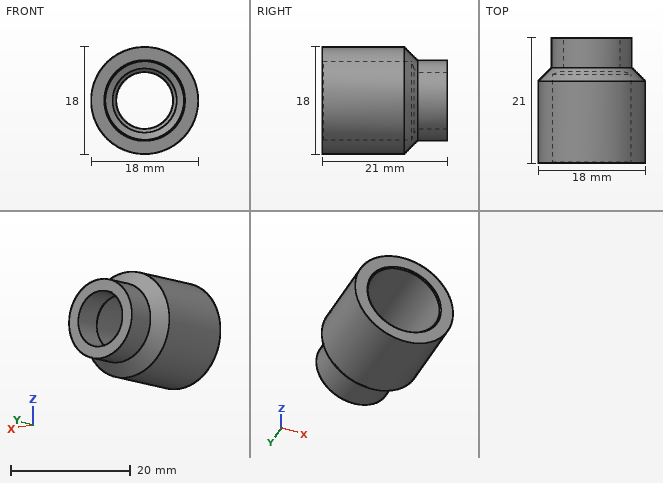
import cadquery as cq
import math

length = 21.0
body_diameter = 18.0
neck_diameter = 13.5
neck_length = 5.0
through_diameter = 9.5
cone_end_diameter = 10.75
socket_diameter = 13.15
mouth_diameter = 13.57
cone_half_angle = 70.0

body_radius = body_diameter / 2
neck_radius = neck_diameter / 2
through_radius = through_diameter / 2
cone_end_radius = cone_end_diameter / 2
socket_radius = socket_diameter / 2
mouth_radius = mouth_diameter / 2

front = -length / 2
back = length / 2
neck_start = back - neck_length
shoulder_start = neck_start - (body_radius - neck_radius)

bore_start = neck_start
cone_end = bore_start - (cone_end_radius - through_radius)
cone_depth = (socket_radius - cone_end_radius) / math.tan(math.radians(cone_half_angle))
cone_start = cone_end - cone_depth
mouth_end = front + (mouth_radius - socket_radius)


def revolve_about_y(profile):
    """Revolve a closed (radius, axial position) profile around the Y axis."""
    return cq.Workplane("XY").polyline(profile).close().revolve(360, (0, 0, 0), (0, 1, 0))


outer_body = revolve_about_y([
    (0, front),
    (body_radius, front),
    (body_radius, shoulder_start),
    (neck_radius, neck_start),
    (neck_radius, back),
    (0, back),
])

stepped_bore = revolve_about_y([
    (0, front),
    (mouth_radius, front),
    (socket_radius, mouth_end),
    (socket_radius, cone_start),
    (cone_end_radius, cone_end),
    (through_radius, bore_start),
    (through_radius, back),
    (0, back),
])

result = outer_body.cut(stepped_bore)